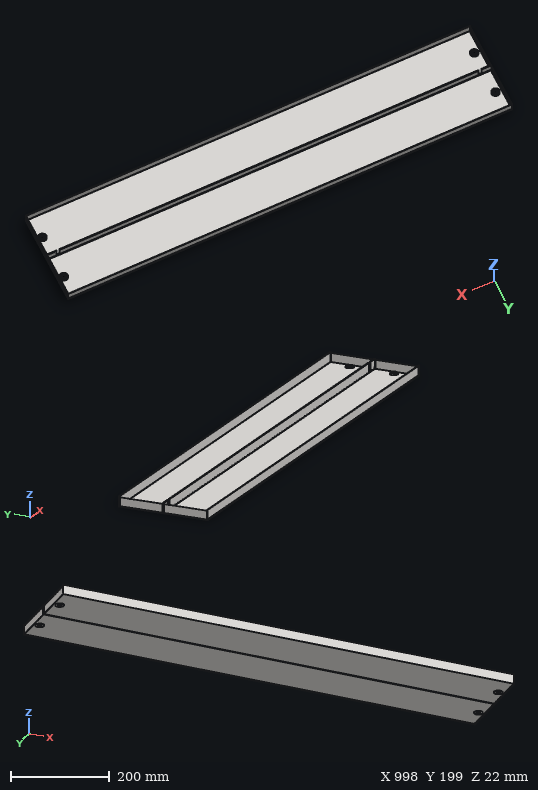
import cadquery as cq

LENGTH = 998.0
WIDTH = 199.0
HEIGHT = 22.0
TRAY_WIDTH = WIDTH / 2

SHEET = 1.0
END_WALL_HEIGHT = 20.0
CORNER_SLIT = 1.0
SLIT_BOTTOM = 4.0

BOSS_INSET = 14.0
BOSS_BASE_DIAMETER = 18.0
BOSS_TOP_DIAMETER = 14.0
BOSS_HEIGHT = 3.0
FLOOR_HOLE_DIAMETER = 8.0

WALL_SLOT_INSET = 25.0
WALL_SLOT_WIDTH = 6.0
WALL_SLOT_BOTTOM = 4.0


def block(x_size, y_size, z_size, x=0.0, y=0.0, z=0.0):
    """Box centred on x and y with its underside at z."""
    return cq.Workplane("XY").box(x_size, y_size, z_size, centered=(True, True, False)).translate((x, y, z))


def make_shell():
    """Open tray with lowered end walls and a slit at each corner."""
    inner_length = LENGTH - 2 * SHEET
    inner_width = TRAY_WIDTH - 2 * SHEET
    shell = block(LENGTH, TRAY_WIDTH, HEIGHT)
    shell = shell.cut(block(inner_length, inner_width, HEIGHT, z=SHEET))
    for end in (-1, 1):
        wall_x = end * (LENGTH - SHEET) / 2
        shell = shell.cut(block(SHEET, inner_width, HEIGHT, x=wall_x, z=END_WALL_HEIGHT))
        for side in (-1, 1):
            slit_y = side * (inner_width - CORNER_SLIT) / 2
            shell = shell.cut(block(SHEET, CORNER_SLIT, HEIGHT, wall_x, slit_y, SLIT_BOTTOM))
    return shell


def add_boss(tray, x):
    """Raise a tapered boss on the floor and drill it through."""
    boss = cq.Workplane(
        cq.Solid.makeCone(BOSS_BASE_DIAMETER / 2, BOSS_TOP_DIAMETER / 2, BOSS_HEIGHT)
    ).translate((x, 0, SHEET))
    hole = cq.Workplane("XY").center(x, 0).circle(FLOOR_HOLE_DIAMETER / 2).extrude(SHEET + BOSS_HEIGHT)
    return tray.union(boss).cut(hole)


def make_tray(side):
    """Tray on the -Y (side -1) or +Y (side 1) half, with its inner wall on Y = 0."""
    tray = make_shell()
    inner_wall_y = -side * (TRAY_WIDTH - SHEET) / 2
    for end in (-1, 1):
        tray = add_boss(tray, end * (LENGTH / 2 - BOSS_INSET))
        slot_x = end * (LENGTH / 2 - WALL_SLOT_INSET)
        tray = tray.cut(block(WALL_SLOT_WIDTH, SHEET, HEIGHT, slot_x, inner_wall_y, WALL_SLOT_BOTTOM))
    return tray.translate((0, side * TRAY_WIDTH / 2, 0))


trays = [make_tray(side) for side in (-1, 1)]
result = cq.Compound.makeCompound([tray.val() for tray in trays])